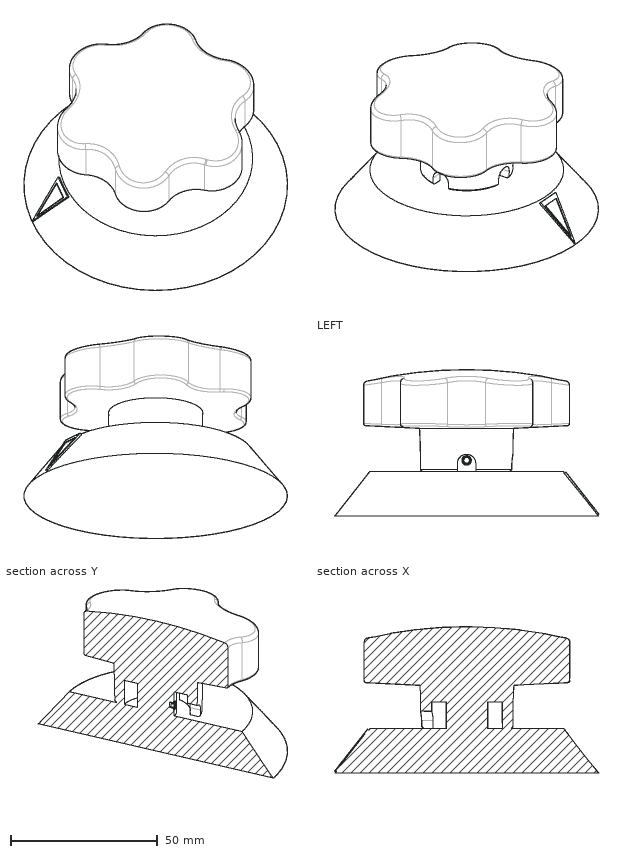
import cadquery as cq
import math

BASE_DIAMETER = 90.0
BASE_BOTTOM_RADIUS = BASE_DIAMETER / 2
BASE_TOP_RADIUS = 33.1
BASE_HEIGHT = 15.2
TOTAL_HEIGHT = 50.0

HUB_TOP_RADIUS = 16.1
HUB_BOTTOM_RADIUS = 15.8
HUB_CHAMFER = 0.6
HUB_GRIP_OVERLAP = 1.5
CAVITY_RADIUS = 12.0
CAVITY_HEIGHT = 9.0
BOSS_RADIUS = 7.1
SLOT_WIDTH = 6.3
SLOT_HEIGHT = 5.9
SCREW_HOLE_DIAMETER = 3.2
SCREW_HOLE_HEIGHT = 3.8
SCREW_HOLE_DEPTH = 0.4
SOCKET_RIM_DIAMETER = 2.5
SOCKET_ACROSS_CORNERS = 2.2
SOCKET_DEPTH = 1.35

LOBE_COUNT = 6
LOBE_RADIUS = 10.1
LOBE_CENTER_RADIUS = 25.05
VALLEY_RADIUS = 10.8
GRIP_UNDERSIDE_Z = 29.6
TOP_DOME_RADIUS = 150.2
UNDERSIDE_DOME_RADIUS = 504.6
TOP_EDGE_FILLET = 1.5
UNDERSIDE_EDGE_FILLET = 0.8
DOME_SEAM_ANGLE = 15

POINTER_HALF_WIDTH = 4.5
POINTER_LENGTH = 18.1
POINTER_RAISE = 0.5
POINTER_TOP_MARGIN = 0.7
RECESS_HALF_WIDTH = 3.2
RECESS_LENGTH = 13.6
RECESS_TOP_MARGIN = 1.8
RECESS_DEPTH = 0.3
POINTER_ROOT = 0.5


def polar(radius, degrees):
    angle = math.radians(degrees)
    return radius * math.cos(angle), radius * math.sin(angle)


def make_base():
    profile = [(0, 0), (BASE_BOTTOM_RADIUS, 0), (BASE_TOP_RADIUS, BASE_HEIGHT), (0, BASE_HEIGHT)]
    return cq.Workplane("XZ").polyline(profile).close().revolve(360, (0, 0), (0, 1))


def pointer_prism(half_width, length, top_margin, start, end):
    """Triangle pointing down the slope, extruded between two heights above the cone."""
    run = BASE_BOTTOM_RADIUS - BASE_TOP_RADIUS
    slope_plane = cq.Plane(
        origin=(0, -BASE_TOP_RADIUS, BASE_HEIGHT), xDir=(1, 0, 0), normal=(0, -BASE_HEIGHT, run)
    )
    corners = [(-half_width, -top_margin), (half_width, -top_margin), (0, -top_margin - length)]
    return cq.Workplane(slope_plane).workplane(offset=start).polyline(corners).close().extrude(end - start)


def make_hub():
    """Chamfered, tapered sleeve with a ring-shaped cavity around the inner boss."""
    sleeve_height = GRIP_UNDERSIDE_Z + HUB_GRIP_OVERLAP - BASE_HEIGHT
    profile = [
        (0, 0),
        (HUB_BOTTOM_RADIUS - HUB_CHAMFER, 0),
        (HUB_BOTTOM_RADIUS, HUB_CHAMFER),
        (HUB_TOP_RADIUS, sleeve_height),
        (0, sleeve_height),
    ]
    hub = cq.Workplane("XZ", origin=(0, 0, BASE_HEIGHT)).polyline(profile).close()
    hub = hub.revolve(360, (0, 0), (0, 1))
    floor = cq.Workplane("XY", origin=(0, 0, BASE_HEIGHT))
    cavity = floor.circle(CAVITY_RADIUS).circle(BOSS_RADIUS).extrude(CAVITY_HEIGHT)
    return hub.cut(cavity)


def make_slot():
    """Round-topped slot through the sleeve wall on the -Y side."""
    half = SLOT_WIDTH / 2
    spring_line = SLOT_HEIGHT - half
    depth = HUB_TOP_RADIUS - (CAVITY_RADIUS + BOSS_RADIUS) / 2
    return (
        cq.Workplane("XZ", origin=(0, -HUB_TOP_RADIUS, BASE_HEIGHT))
        .moveTo(-half, 0)
        .lineTo(half, 0)
        .lineTo(half, spring_line)
        .threePointArc((0, SLOT_HEIGHT), (-half, spring_line))
        .close()
        .extrude(-depth)
    )


def make_screw_recess():
    """Set screw hole in the boss on the -X side, ending in a hexagon socket with a countersunk rim."""
    mouth = cq.Workplane("YZ", origin=(-BOSS_RADIUS, 0, BASE_HEIGHT + SCREW_HOLE_HEIGHT))
    hole = mouth.circle(SCREW_HOLE_DIAMETER / 2).extrude(SCREW_HOLE_DEPTH)
    screw_face = mouth.workplane(offset=SCREW_HOLE_DEPTH)
    socket = screw_face.polygon(6, SOCKET_ACROSS_CORNERS).extrude(SOCKET_DEPTH)
    rim_depth = (SOCKET_RIM_DIAMETER - SOCKET_ACROSS_CORNERS) / 2
    rim = (
        screw_face.circle(SOCKET_RIM_DIAMETER / 2)
        .workplane(offset=rim_depth)
        .circle(SOCKET_ACROSS_CORNERS / 2)
        .loft()
    )
    return hole.union(socket).union(rim)


def lobed_outline():
    """Closed ring of convex lobe arcs joined by tangent concave valley arcs."""
    step = 360 / LOBE_COUNT
    half_step = math.radians(step / 2)
    center_gap = LOBE_RADIUS + VALLEY_RADIUS
    valley_center_radius = LOBE_CENTER_RADIUS * math.cos(half_step) + math.sqrt(
        center_gap**2 - (LOBE_CENTER_RADIUS * math.sin(half_step)) ** 2
    )

    def touch_point(lobe_angle, valley_angle):
        lobe = polar(LOBE_CENTER_RADIUS, lobe_angle)
        valley = polar(valley_center_radius, valley_angle)
        share = LOBE_RADIUS / center_gap
        return tuple(a + share * (b - a) for a, b in zip(lobe, valley))

    lobe_tip_radius = LOBE_CENTER_RADIUS + LOBE_RADIUS
    valley_floor_radius = valley_center_radius - VALLEY_RADIUS
    first_lobe = 90
    outline = cq.Workplane("XY").moveTo(*touch_point(first_lobe, first_lobe - step / 2))
    for index in range(LOBE_COUNT):
        lobe = first_lobe + index * step
        valley = lobe + step / 2
        outline = outline.threePointArc(polar(lobe_tip_radius, lobe), touch_point(lobe, valley))
        outline = outline.threePointArc(
            polar(valley_floor_radius, valley), touch_point(lobe + step, valley)
        )
    return outline.close()


def make_grip():
    """Lobed prism trimmed by two shallow domes, with both rims rounded."""
    reach = LOBE_CENTER_RADIUS + 2 * LOBE_RADIUS

    def sag(dome_radius, radius):
        return dome_radius - math.sqrt(dome_radius**2 - radius**2)

    def under(radius):
        return radius, GRIP_UNDERSIDE_Z + sag(UNDERSIDE_DOME_RADIUS, radius)

    def top(radius):
        return radius, TOTAL_HEIGHT - sag(TOP_DOME_RADIUS, radius)

    envelope = (
        cq.Workplane("XZ")
        .moveTo(*under(0))
        .threePointArc(under(reach / 2), under(reach))
        .lineTo(*top(reach))
        .threePointArc(top(reach / 2), top(0))
        .close()
        .revolve(360, (0, 0), (0, 1))
        .rotate((0, 0, 0), (0, 0, 1), DOME_SEAM_ANGLE)
    )
    grip = lobed_outline().extrude(TOTAL_HEIGHT).intersect(envelope)
    grip = grip.faces(">Z").edges().fillet(TOP_EDGE_FILLET)
    return grip.faces("<Z").edges().fillet(UNDERSIDE_EDGE_FILLET)


def add_pointer(base):
    raised = pointer_prism(
        POINTER_HALF_WIDTH, POINTER_LENGTH, POINTER_TOP_MARGIN, -POINTER_ROOT, POINTER_RAISE
    )
    recess = pointer_prism(
        RECESS_HALF_WIDTH,
        RECESS_LENGTH,
        POINTER_TOP_MARGIN + RECESS_TOP_MARGIN,
        POINTER_RAISE - RECESS_DEPTH,
        POINTER_RAISE,
    )
    return base.union(raised).cut(recess)


hub = make_hub()
for turn in (0, -90):
    hub = hub.cut(make_slot().rotate((0, 0, 0), (0, 0, 1), turn))
hub = hub.cut(make_screw_recess())

result = add_pointer(make_base()).union(hub).union(make_grip())